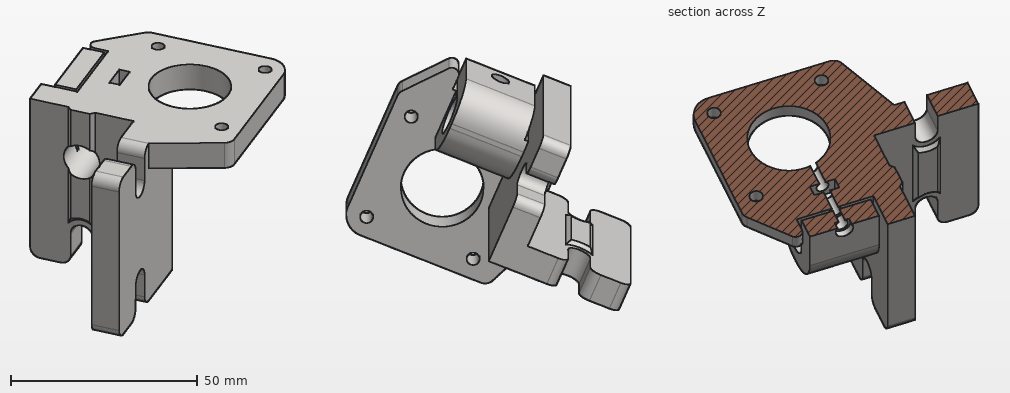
import cadquery as cq
import math


rail_width = 30.0
wall = 8.0
height = 50.0
corner_radius = 3.0
mid_rail = -rail_width / 2

slot_width = 6.4
slot_end = 10.0

key_base = 7.8
key_height = 1.1
key_top = key_base - 2 * key_height
washer_radius = 5.0

plate_thickness = 8.0
plate_right = 28.5
plate_back = 43.0
plate_round = 6.25
plate_side_front = -0.25
plate_tip_x = -25.25
shoulder_angle = 40.0
tip_radius = 1.9
motor_x = 7.5
motor_y = 21.75
motor_bore = 22.2
motor_screw = 3.5
motor_pitch = 31.0

rod_hole = 10.4
rod_drop = 16.0
rod_left = mid_rail - rod_hole / 2
rod_z = height - rod_drop
clamp_round = 10.0
clamp_left = -26.4
clamp_right = mid_rail + clamp_round
clamp_length = 20.0
clamp_bottom = rod_z - clamp_round
gap = 1.0
gap_right = -19.5
jaw_front = wall + gap
jaw_back = jaw_front + clamp_length
plate_notch_y = jaw_back + gap

clamp_screw_y = (jaw_front + jaw_back) / 2
clamp_screw_drop = 5.5
clamp_screw_z = height - clamp_screw_drop
head_recess = 5.0
head_depth = 2.0
clamp_screw = 3.5
nut_width = 7.1
nut_thickness = 3.0
nut_left = -13.25


def box(x0, x1, y0, y1, z0, z1):
    return cq.Workplane("XY").box(x1 - x0, y1 - y0, z1 - z0, centered=False).translate((x0, y0, z0))


def cylinder_along(direction, start, length, diameter):
    solid = cq.Solid.makeCylinder(diameter / 2, length, cq.Vector(*start), cq.Vector(*direction))
    return cq.Workplane(obj=solid)


def slot_cutter(centre_z, opens_up):
    """Screw slot through the -X wall, with rounded mouth corners."""
    half = slot_width / 2
    mouth_half = half + corner_radius
    sign = 1 if opens_up else -1
    edge = height if opens_up else 0.0
    neck = edge - sign * corner_radius
    diagonal = corner_radius * math.sqrt(0.5)
    arc_x = mouth_half - diagonal
    arc_z = neck + sign * diagonal
    return (
        cq.Workplane("XZ", origin=(mid_rail, 0, 0))
        .moveTo(-mouth_half, edge)
        .threePointArc((-arc_x, arc_z), (-half, neck))
        .lineTo(-half, centre_z)
        .threePointArc((0, centre_z - sign * half), (half, centre_z))
        .lineTo(half, neck)
        .threePointArc((arc_x, arc_z), (mouth_half, edge))
        .close()
        .extrude(-wall)
    )


def key(z0, z1):
    """Key with sloped flanks on the rail face of the -X wall."""
    return (
        cq.Workplane("XY", origin=(mid_rail, 0, z0))
        .polyline(
            [
                (-key_base / 2, 0),
                (-key_top / 2, -key_height),
                (key_top / 2, -key_height),
                (key_base / 2, 0),
            ]
        )
        .close()
        .extrude(z1 - z0)
    )


def washer_clearance(centre_z):
    """Cone that keeps the key clear of the screw washer."""
    cone = cq.Solid.makeCone(
        washer_radius,
        washer_radius + key_height,
        key_height,
        cq.Vector(mid_rail, 0, centre_z),
        cq.Vector(0, -1, 0),
    )
    return cq.Workplane(obj=cone)


def rail_wall(slotted_top):
    """Wall along -X whose rail face is the plane Y = 0; its top end can be slotted like its foot."""
    body = box(-rail_width, wall, 0, wall, 0, height)
    outer = body.edges("|Y and <X")
    rounded = outer if slotted_top else outer.edges("<Z")
    body = rounded.fillet(corner_radius)
    low, high = slot_end, height - slot_end
    rail_key = key(low, high if slotted_top else height).cut(washer_clearance(low))
    body = body.cut(slot_cutter(low, False))
    if slotted_top:
        rail_key = rail_key.cut(washer_clearance(high))
        body = body.cut(slot_cutter(high, True))
    return body.union(rail_key)


def motor_plate():
    angle = math.radians(shoulder_angle)
    tip_centre_x = plate_tip_x + tip_radius
    tip_centre_y = plate_notch_y + tip_radius
    shoulder_x = tip_centre_x - tip_radius * math.sin(angle)
    shoulder_y = tip_centre_y + tip_radius * math.cos(angle)
    back_edge_left = shoulder_x + (plate_back - shoulder_y) / math.tan(angle)
    slot_mouth = mid_rail + slot_width / 2 + corner_radius
    plate = (
        cq.Workplane("XY", origin=(0, 0, height - plate_thickness))
        .moveTo(0, slot_mouth)
        .lineTo(wall, slot_mouth)
        .lineTo(plate_right, plate_side_front)
        .lineTo(plate_right, plate_back)
        .lineTo(back_edge_left, plate_back)
        .lineTo(shoulder_x, shoulder_y)
        .threePointArc((plate_tip_x, tip_centre_y), (tip_centre_x, plate_notch_y))
        .lineTo(gap_right, plate_notch_y)
        .lineTo(gap_right, 0)
        .lineTo(0, 0)
        .close()
        .extrude(plate_thickness)
    )

    def upright(x, y):
        return cq.selectors.NearestToPointSelector((x, y, height - plate_thickness / 2))

    plate = plate.edges(upright(plate_right, plate_back)).fillet(plate_round)
    plate = plate.edges(upright(plate_right, plate_side_front)).fillet(corner_radius)
    return plate.edges(upright(back_edge_left, plate_back)).fillet(corner_radius)


def clamp_body():
    """Block around the rod, rounded below; its left part is split off as a jaw."""
    body = box(clamp_left, clamp_right, wall, jaw_back, clamp_bottom, height)
    body = body.edges("|Y and <Z and <X").fillet(clamp_round)
    body = body.edges("|Y and >X and <Z").fillet(clamp_round)
    end_gap = box(clamp_left, gap_right, wall, jaw_front, clamp_bottom, height)
    split = box(rod_left, gap_right, wall, jaw_back, rod_z, height)
    return body.cut(end_gap).cut(split)


def motor_cutters():
    plate_bottom = height - plate_thickness
    cutters = cylinder_along((0, 0, 1), (motor_x, motor_y, plate_bottom), plate_thickness, motor_bore)
    half = motor_pitch / 2
    for dx, dy in [(-half, half), (half, half), (half, -half)]:
        start = (motor_x + dx, motor_y + dy, plate_bottom)
        cutters = cutters.union(cylinder_along((0, 0, 1), start, plate_thickness, motor_screw))
    return cutters


def clamp_cutters():
    rod = cylinder_along((0, 1, 0), (mid_rail, -key_height, rod_z), key_height + jaw_back, rod_hole)
    screw_start = (clamp_left, clamp_screw_y, clamp_screw_z)
    head = cylinder_along((1, 0, 0), screw_start, head_depth, head_recess)
    screw = cylinder_along((1, 0, 0), screw_start, motor_x - clamp_left, clamp_screw)
    nut = box(
        nut_left,
        nut_left + nut_thickness,
        clamp_screw_y - nut_width / 2,
        clamp_screw_y + nut_width / 2,
        clamp_screw_z - nut_width / 2,
        height,
    )
    return [rod, head, screw, nut]


side_wall = rail_wall(True).mirror("YZ").rotate((0, 0, 0), (0, 0, 1), -90)
result = rail_wall(False).union(side_wall).union(motor_plate()).union(clamp_body())
result = result.cut(motor_cutters())
for cutter in clamp_cutters():
    result = result.cut(cutter)